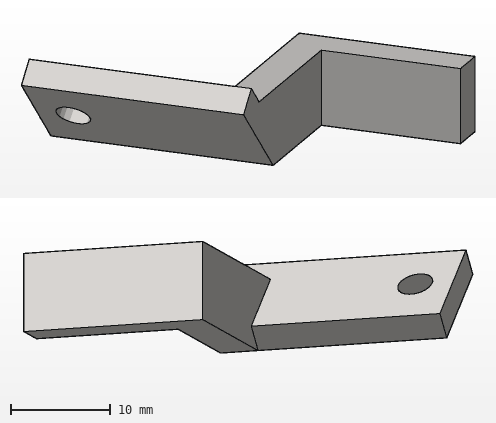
import cadquery as cq
import math

total_length = 39.0
total_height = 10.1
total_depth = 25.0
plate_length = 24.0
wall_height = 8.0
wall_thickness = 3.98
lean_angle = 45.0
hole_diameter = 3.6
hole_from_end = 4.0
hole_height = 4.0

plate_offset = total_height - wall_height
plate_thickness = plate_offset * math.sqrt(2)
foot_y = wall_height / math.tan(math.radians(lean_angle))
cross_wall_x = plate_length - wall_thickness


def make_plate():
    """Leaning rectangular plate, extruded along X."""
    return (
        cq.Workplane("YZ")
        .moveTo(0, wall_height)
        .lineTo(foot_y, 0)
        .lineTo(foot_y + plate_offset, plate_offset)
        .lineTo(plate_offset, total_height)
        .close()
        .extrude(plate_length)
    )


def make_cross_wall():
    """Wall running back from the plate, with its front end cut along the lean."""
    return (
        cq.Workplane("YZ", origin=(cross_wall_x, 0, 0))
        .moveTo(0, wall_height)
        .lineTo(foot_y, 0)
        .lineTo(total_depth, 0)
        .lineTo(total_depth, wall_height)
        .close()
        .extrude(wall_thickness)
    )


def make_rear_wall():
    """Wall along X at the back of the bracket."""
    return cq.Workplane("XY").box(
        total_length - cross_wall_x, wall_thickness, wall_height, centered=False
    ).translate((cross_wall_x, total_depth - wall_thickness, 0))


def make_hole():
    """Round hole square to the leaning plate."""
    cutter_reach = 1.5 * plate_thickness
    return (
        cq.Workplane("XY")
        .circle(hole_diameter / 2)
        .extrude(cutter_reach, both=True)
        .rotate((0, 0, 0), (1, 0, 0), -lean_angle)
        .translate((hole_from_end, foot_y - hole_height, hole_height))
    )


result = make_plate().union(make_cross_wall()).union(make_rear_wall()).cut(make_hole())